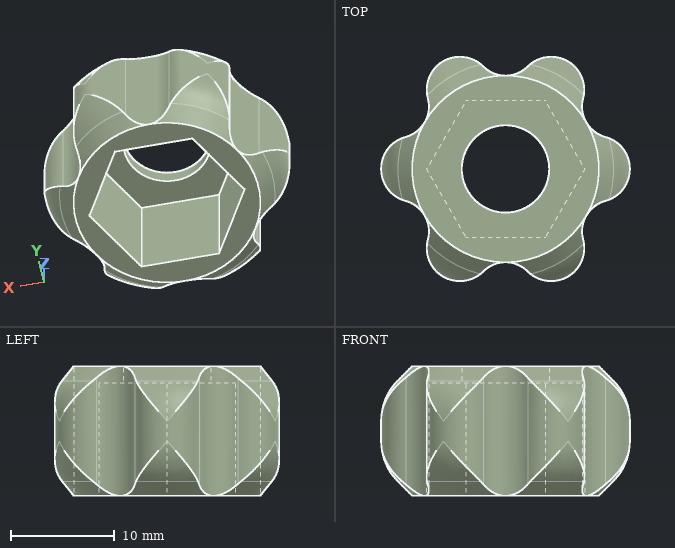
import cadquery as cq
import math

height = 12.5
tip_radius = 12.0
half_height = height / 2

lobe_count = 6
lobe_radius = 3.2
flute_floor_radius = 9.0
lobe_pitch = 360 / lobe_count

end_face_radius = flute_floor_radius
rim_chamfer = tip_radius - end_face_radius
rim_chamfer_angle = 45
rim_fillet_radius = 5.5

bore_diameter = 8.4
bore_depth = 1.6
nut_sides = 6
nut_across_flats = 13.2
nut_pocket_depth = height - bore_depth


def polar(radius, angle):
    """Point at a radius and an angle in degrees."""
    return (radius * math.cos(math.radians(angle)), radius * math.sin(math.radians(angle)))


def make_grip_prism():
    """Star-shaped prism whose lobes and flutes meet tangentially."""
    half_pitch = lobe_pitch / 2
    lobe_centre_radius = tip_radius - lobe_radius
    along, across = polar(lobe_centre_radius, half_pitch)
    rise = flute_floor_radius - along
    flute_radius = (across**2 + rise**2 - lobe_radius**2) / (2 * (lobe_radius - rise))
    flute_centre_radius = flute_floor_radius + flute_radius
    share = lobe_radius / (lobe_radius + flute_radius)
    tangent_along = along + share * (flute_centre_radius - along)
    tangent_across = across * (1 - share)
    tangent_radius = math.hypot(tangent_along, tangent_across)
    tangent_angle = half_pitch - math.degrees(math.atan2(tangent_across, tangent_along))

    outline = cq.Workplane("XY", origin=(0, 0, -half_height))
    outline = outline.moveTo(*polar(tangent_radius, -tangent_angle))
    for lobe in range(lobe_count):
        lobe_angle = lobe * lobe_pitch
        next_angle = lobe_angle + lobe_pitch
        outline = outline.threePointArc(
            polar(tip_radius, lobe_angle),
            polar(tangent_radius, lobe_angle + tangent_angle),
        )
        outline = outline.threePointArc(
            polar(flute_floor_radius, lobe_angle + half_pitch),
            polar(tangent_radius, next_angle - tangent_angle),
        )
    return outline.close().extrude(height)


def make_rounded_blank():
    """Turned blank with a chamfer at each end, blended into the outer cylinder."""
    blend_length = rim_fillet_radius * math.tan(math.radians(rim_chamfer_angle / 2))
    band_half_height = half_height - rim_chamfer - blend_length
    arc_centre_radius = tip_radius - rim_fillet_radius
    mid_x, mid_z = polar(rim_fillet_radius, rim_chamfer_angle / 2)
    end_x, end_z = polar(rim_fillet_radius, rim_chamfer_angle)
    arc_mid = (arc_centre_radius + mid_x, band_half_height + mid_z)
    arc_end = (arc_centre_radius + end_x, band_half_height + end_z)
    return (
        cq.Workplane("XZ")
        .moveTo(0, -half_height)
        .lineTo(end_face_radius, -half_height)
        .lineTo(arc_end[0], -arc_end[1])
        .threePointArc((arc_mid[0], -arc_mid[1]), (tip_radius, -band_half_height))
        .lineTo(tip_radius, band_half_height)
        .threePointArc(arc_mid, arc_end)
        .lineTo(end_face_radius, half_height)
        .lineTo(0, half_height)
        .close()
        .revolve(360, (0, 0, 0), (0, 1, 0))
    )


def make_bolt_hole():
    """Round bore through the top, opening into a hexagonal nut pocket below."""
    nut_across_corners = nut_across_flats / math.cos(math.radians(180 / nut_sides))
    bore = cq.Workplane("XY", origin=(0, 0, -half_height)).circle(bore_diameter / 2).extrude(height)
    pocket = (
        cq.Workplane("XY", origin=(0, 0, -half_height))
        .polygon(nut_sides, nut_across_corners)
        .extrude(nut_pocket_depth)
    )
    return bore.union(pocket)


result = make_rounded_blank().intersect(make_grip_prism()).cut(make_bolt_hole())